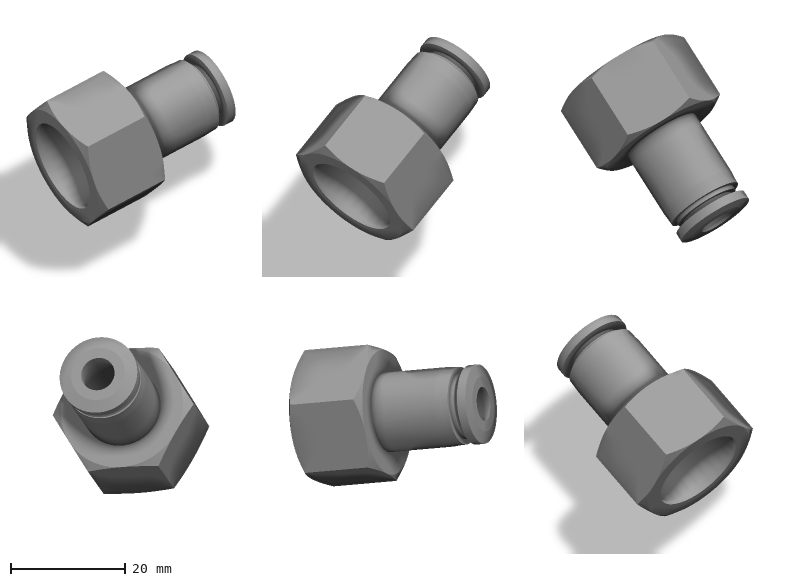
import cadquery as cq
import math


hex_across_flats = 22.0
hex_length = 14.0
chamfer_angle = 30.0
hex_sides = 6
hex_across_corners = hex_across_flats / math.cos(math.pi / hex_sides)

socket_mouth_diameter = 16.662
socket_taper = 1.0 / 16.0
socket_depth = 12.0
bore_diameter = 6.0

body_diameter = 14.0
body_end = 26.05
taper_length = 2.45
taper_end_diameter = 13.7

shoulder_diameter = 11.8
shoulder_length = 0.75
neck_diameter = 9.9
neck_length = 1.1
collar_diameter = 14.0
collar_rim_length = 1.6
collar_face_diameter = 9.7
total_length = 32.4

taper_end = body_end + taper_length
shoulder_end = taper_end + shoulder_length
neck_end = shoulder_end + neck_length
collar_rim_end = neck_end + collar_rim_length


def revolve_about_y(sketch):
    """Close a half profile in the XY plane and spin it about the Y axis."""
    return sketch.close().revolve(360.0, (0, 0, 0), (0, 1, 0))


def make_hex_nut():
    """Hexagonal prism with corners on X, its corners trimmed by a cone at both ends."""
    prism = cq.Workplane("XZ").polygon(hex_sides, hex_across_corners).extrude(-hex_length)
    face_radius = hex_across_flats / 2
    corner_radius = hex_across_corners / 2
    chamfer_depth = (corner_radius - face_radius) * math.tan(math.radians(chamfer_angle))
    trim = revolve_about_y(
        cq.Workplane("XY")
        .lineTo(-face_radius, 0)
        .lineTo(-corner_radius, chamfer_depth)
        .lineTo(-corner_radius, hex_length - chamfer_depth)
        .lineTo(-face_radius, hex_length)
        .lineTo(0, hex_length)
    )
    return prism.intersect(trim)


def make_stem():
    """Body, tapered end, shoulder, neck and collar as one turned solid."""
    return revolve_about_y(
        cq.Workplane("XY")
        .moveTo(0, socket_depth)
        .lineTo(-body_diameter / 2, socket_depth)
        .lineTo(-body_diameter / 2, body_end)
        .lineTo(-taper_end_diameter / 2, taper_end)
        .lineTo(-shoulder_diameter / 2, taper_end)
        .lineTo(-shoulder_diameter / 2, shoulder_end)
        .lineTo(-neck_diameter / 2, shoulder_end)
        .lineTo(-neck_diameter / 2, neck_end)
        .lineTo(-collar_diameter / 2, neck_end)
        .lineTo(-collar_diameter / 2, collar_rim_end)
        .lineTo(-collar_face_diameter / 2, total_length)
        .lineTo(0, total_length)
    )


def make_socket():
    """Cone that narrows from the nut mouth to the socket floor."""
    mouth_radius = socket_mouth_diameter / 2
    floor_radius = mouth_radius - socket_depth * socket_taper / 2
    return revolve_about_y(
        cq.Workplane("XY")
        .lineTo(-mouth_radius, 0)
        .lineTo(-floor_radius, socket_depth)
        .lineTo(0, socket_depth)
    )


def make_bore():
    """Straight passage along the whole fitting."""
    return cq.Workplane("XZ").circle(bore_diameter / 2).extrude(-total_length)


result = make_hex_nut().union(make_stem()).cut(make_socket()).cut(make_bore())